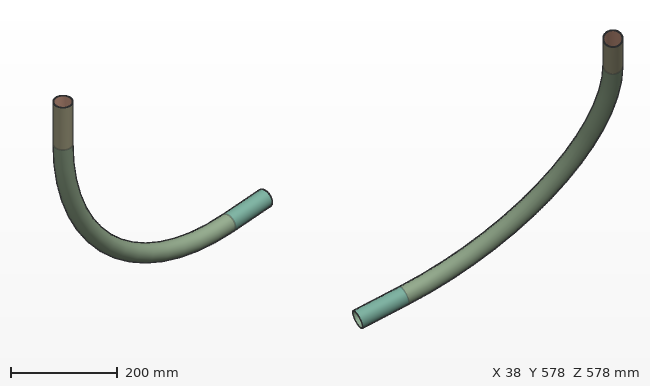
import cadquery as cq
import math

overall_size = 578.0
outer_diameter = 38.0
inner_diameter = 34.5
straight_length = 101.5

outer_radius = outer_diameter / 2
bend_radius = overall_size - straight_length - outer_radius

bend_midpoint = -bend_radius * math.sqrt(0.5)
centre_line = (
    cq.Workplane("YZ")
    .moveTo(-bend_radius, straight_length)
    .lineTo(-bend_radius, 0)
    .threePointArc((bend_midpoint, bend_midpoint), (0, -bend_radius))
    .lineTo(straight_length, -bend_radius)
)

result = (
    cq.Workplane("XY", origin=(0, -bend_radius, straight_length))
    .circle(outer_radius)
    .circle(inner_diameter / 2)
    .sweep(centre_line)
)